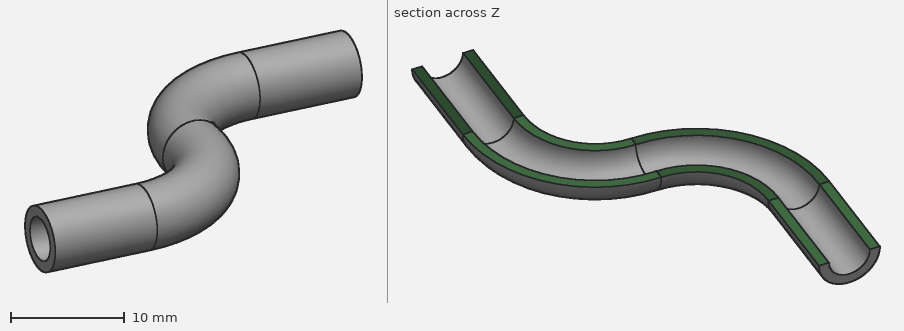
import cadquery as cq

outer_diameter = 6.0
bore_diameter = 4.0
bend_radius = 10.0
straight_length = 10.0
bend_angle = 90.0
half_turn = 180.0


def ring_profile():
    """Tube cross-section where a straight end meets its bend, facing along Y."""
    return (
        cq.Workplane("XZ", origin=(-bend_radius, bend_radius, 0))
        .circle(outer_diameter / 2)
        .circle(bore_diameter / 2)
    )


def make_straight_tube(turn):
    """Straight end running outward along +Y, then turned about Z."""
    tube = ring_profile().extrude(-straight_length)
    return tube.rotate((0, 0, 0), (0, 0, 1), turn)


def make_bend(turn):
    """Quarter bend from the straight end to the origin, then turned about Z."""
    axis_start = (bend_radius, 0)
    axis_end = (bend_radius, 1)
    bend = ring_profile().revolve(bend_angle, axis_start, axis_end)
    return bend.rotate((0, 0, 0), (0, 0, 1), turn)


bodies = []
for turn in (0, half_turn):
    bodies.append(make_straight_tube(turn).val())
    bodies.append(make_bend(turn).val())

result = cq.Compound.makeCompound(bodies)